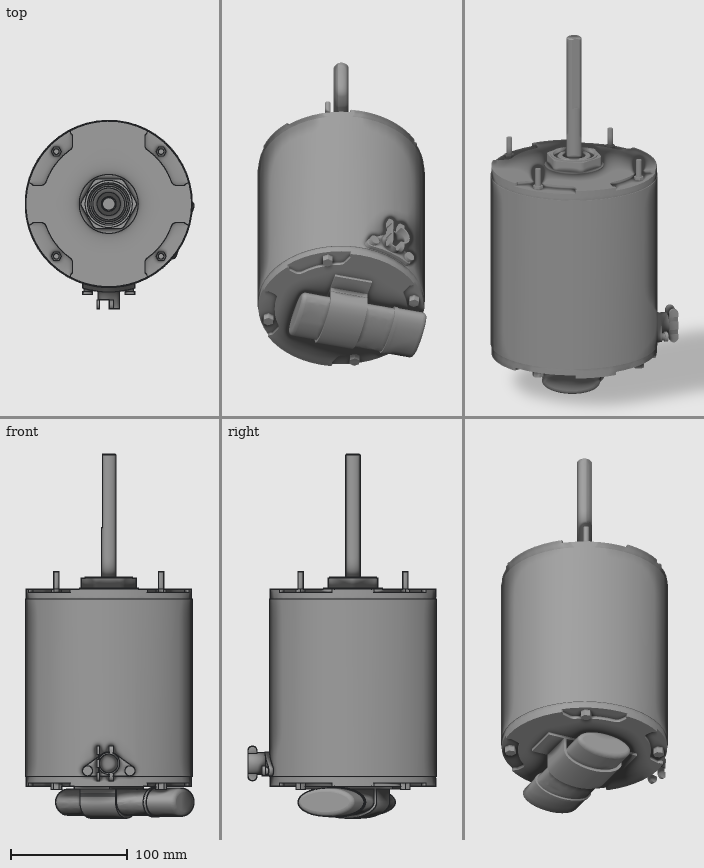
import cadquery as cq
import math

SHELL_RADIUS = 71.7
SHIELD_RADIUS = 71.0
MOTOR_HEIGHT = 169.2
SHIELD_RIM = 8.6

POCKET_DEPTH = 2.8
POCKET_INNER_RADIUS = 57.0
SIDE_TAB_HALF_WIDTH = 15.8
FRONT_TAB_HALF_WIDTH = 30.9
TAB_FLARE = 2.2
TAB_FLARE_RADIUS = 4.5
POCKET_CORNER_RADIUS = 5.0

BOLT_CIRCLE_RADIUS = 63.5
BOLT_OFFSET = BOLT_CIRCLE_RADIUS / math.sqrt(2)
STUD_DIAMETER = 4.8
STUD_LENGTH = 15.0
STUD_NUT_FLATS = 7.5
BOLT_HEAD_FLATS = 8.2
BOLT_HEAD_PROJECTION = 2.8

WASHER_RADIUS = 25.3
WASHER_HEIGHT = 1.0
NUT_FLATS = 42.5
NUT_TOP = 9.4
NUT_CORNER_RADIUS = 5.0
COLLAR_RADIUS = 20.2
COLLAR_TOP = 10.4
RECESS_TOP_RADIUS = 18.2
RECESS_FLOOR_RADIUS = 16.8
RECESS_DEPTH = 3.0
SEAL_BASE_RADIUS = 15.2
SEAL_TOP_RADIUS = 13.6
SEAL_HEIGHT = 1.8
SHAFT_CLEARANCE_RADIUS = 10.0
SHAFT_CLEARANCE_DEPTH = 5.0

SHAFT_DIAMETER = 12.7
SHAFT_TOP = 285.0
SHAFT_CHAMFER = 1.0
FLAT_START = 222.0
FLAT_DEPTH = 0.95

CLAMP_Z = 19.7
CLAMP_TIP_Y = -90.05
BARREL_RADIUS = 9.4
BARREL_BORE_RADIUS = 8.0
ROOT_RADIUS = SHELL_RADIUS - 12.0
FLANGE_RADIUS = 75.5
FLANGE_BOSS_RADIUS = 9.9
EAR_SPACING = 36.4
EAR_DROP = 6.3
EAR_RADIUS = 4.3
SCREW_HEAD_RADIUS = 4.3
SCREW_NECK_RADIUS = 3.2
SCREW_HEAD_END = 77.8
SCREW_HEAD_HEIGHT = 2.6
JAW_DEPTH = 7.8
JAW_HEIGHT = 29.8
JAW_NOTCH_CENTRE = 5.7
JAW_NOTCH_HEIGHT = 4.2
JAW_NOTCH_DEPTH = 1.2
OUTER_JAW_X = (-10.2, -7.8)
INNER_JAW_X = (0.4, 4.0)

CAPACITOR_TURN = -20.0
CAPACITOR_Z = -13.5
CAPACITOR_HALF_WIDTH = 25.0
CAPACITOR_HALF_HEIGHT = 11.3
CAPACITOR_END_RADIUS = 3.5
CAPACITOR_START = -40.6
CAPACITOR_END = 69.6
BOOT_START = 41.0
BOOT_WALL = 0.9
BOOT_LIP_LENGTH = 2.8
BOOT_LIP_WALL = 1.6

STRAP_WIDTH = 32.5
STRAP_THICKNESS = 2.54
STRAP_GROOVE_TOP = -6.4
STRAP_GROOVE_WIDTH = 1.9
STRAP_GROOVE_DEPTH = 0.4
PLATE_HALF_LENGTH = 42.2
PLATE_THICKNESS = 2.3

BOLT_POINTS = [(x * BOLT_OFFSET, y * BOLT_OFFSET) for x in (-1, 1) for y in (-1, 1)]


def cylinder(radius, bottom, top):
    """Upright cylinder on the Z axis."""
    return cq.Workplane("XY").workplane(offset=bottom).circle(radius).extrude(top - bottom)


def cone(bottom_radius, top_radius, bottom, top):
    """Upright truncated cone on the Z axis."""
    lower = cq.Workplane("XY").workplane(offset=bottom).circle(bottom_radius)
    return lower.workplane(offset=top - bottom).circle(top_radius).loft(ruled=True)


def hexagons(points, flats, bottom, top):
    """Upright hexagons, corners on X, at the given points."""
    plane = cq.Workplane("XY").workplane(offset=bottom).pushPoints(points)
    return plane.polygon(6, flats / math.cos(math.pi / 6)).extrude(top - bottom)


def tab_flare_points():
    """Centres of the round flares that widen each standing tab where it meets the rim."""
    points = []
    for side in (-1, 1):
        for end in (-1, 1):
            x = FRONT_TAB_HALF_WIDTH + TAB_FLARE
            y = math.sqrt(SHIELD_RADIUS**2 - x**2)
            points.append((side * (x - TAB_FLARE_RADIUS), end * y))
            y = SIDE_TAB_HALF_WIDTH + TAB_FLARE
            x = math.sqrt(SHIELD_RADIUS**2 - y**2)
            points.append((side * x, end * (y - TAB_FLARE_RADIUS)))
    return points


def shield_pockets(bottom):
    """Four open-edged pockets that leave the shield's centre and four flared tabs standing."""
    reach = 2 * (SHELL_RADIUS + 1)
    plane = cq.Workplane("XY").workplane(offset=bottom)
    ring = plane.circle(reach / 2).circle(POCKET_INNER_RADIUS).extrude(POCKET_DEPTH)
    side_tabs = plane.rect(reach, 2 * SIDE_TAB_HALF_WIDTH).extrude(POCKET_DEPTH)
    front_tabs = plane.rect(2 * FRONT_TAB_HALF_WIDTH, reach).extrude(POCKET_DEPTH)
    flares = plane.pushPoints(tab_flare_points()).circle(TAB_FLARE_RADIUS).extrude(POCKET_DEPTH)
    pockets = ring.cut(side_tabs).cut(front_tabs)
    inner_corners = cq.selectors.BoxSelector(
        (-POCKET_INNER_RADIUS, -POCKET_INNER_RADIUS, bottom),
        (POCKET_INNER_RADIUS, POCKET_INNER_RADIUS, bottom + POCKET_DEPTH),
    )
    return pockets.edges("|Z").edges(inner_corners).fillet(POCKET_CORNER_RADIUS).cut(flares)


def make_housing():
    """Shell with a slightly smaller shield at each end, pocketed on both faces."""
    housing = cylinder(SHIELD_RADIUS, 0, MOTOR_HEIGHT)
    housing = housing.union(cylinder(SHELL_RADIUS, SHIELD_RIM, MOTOR_HEIGHT - SHIELD_RIM))
    for bottom in (0, MOTOR_HEIGHT - POCKET_DEPTH):
        housing = housing.cut(shield_pockets(bottom))
    return housing


def add_bolts(motor):
    """Studs and nuts on the top face, bolt heads on the bottom face."""
    pocket_floor = MOTOR_HEIGHT - POCKET_DEPTH
    stud_plane = cq.Workplane("XY").workplane(offset=pocket_floor).pushPoints(BOLT_POINTS)
    studs = stud_plane.circle(STUD_DIAMETER / 2).extrude(POCKET_DEPTH + STUD_LENGTH)
    nuts = hexagons(BOLT_POINTS, STUD_NUT_FLATS, pocket_floor, MOTOR_HEIGHT)
    heads = hexagons(BOLT_POINTS, BOLT_HEAD_FLATS, -BOLT_HEAD_PROJECTION, POCKET_DEPTH)
    return motor.union(studs).union(nuts).union(heads)


def make_hub():
    """Washer, hex nut and collar, hollowed around a raised seal and the shaft."""
    nut_top = MOTOR_HEIGHT + NUT_TOP
    collar_top = MOTOR_HEIGHT + COLLAR_TOP
    recess_floor = collar_top - RECESS_DEPTH
    seal_top = recess_floor + SEAL_HEIGHT
    nut = hexagons([(0, 0)], NUT_FLATS, MOTOR_HEIGHT, nut_top)
    hub = nut.edges("|Z").fillet(NUT_CORNER_RADIUS)
    hub = hub.union(cylinder(WASHER_RADIUS, MOTOR_HEIGHT, MOTOR_HEIGHT + WASHER_HEIGHT))
    hub = hub.union(cylinder(COLLAR_RADIUS, MOTOR_HEIGHT, collar_top))
    hub = hub.cut(cone(RECESS_FLOOR_RADIUS, RECESS_TOP_RADIUS, recess_floor, collar_top))
    hub = hub.union(cone(SEAL_BASE_RADIUS, SEAL_TOP_RADIUS, recess_floor, seal_top))
    return hub.cut(cylinder(SHAFT_CLEARANCE_RADIUS, seal_top - SHAFT_CLEARANCE_DEPTH, seal_top))


def make_shaft():
    """Round output shaft with a flat along its upper length."""
    radius = SHAFT_DIAMETER / 2
    shaft = cylinder(radius, MOTOR_HEIGHT, SHAFT_TOP).faces(">Z").chamfer(SHAFT_CHAMFER)
    flat_length = SHAFT_TOP - FLAT_START
    flat = cq.Workplane("XY").box(SHAFT_DIAMETER, SHAFT_DIAMETER, flat_length)
    return shaft.cut(flat.translate((FLAT_DEPTH - SHAFT_DIAMETER, 0, FLAT_START + flat_length / 2)))


def outward_cylinder(x, z, radius, start, end):
    """Cylinder along -Y, from distance start to distance end in front of the motor axis."""
    plane = cq.Workplane("XZ", origin=(x, -start, z))
    return plane.circle(radius).extrude(end - start)


def make_clamp_flange():
    """Curved flange hugging the shell: a round boss joined to two lower ears by tangents."""
    ear_x = EAR_SPACING / 2
    span = math.hypot(ear_x, EAR_DROP)
    lean = math.atan2(EAR_DROP, ear_x)
    spread = math.acos((FLANGE_BOSS_RADIUS - EAR_RADIUS) / span)
    upper = spread - lean
    boss_upper = (FLANGE_BOSS_RADIUS * math.cos(upper), FLANGE_BOSS_RADIUS * math.sin(upper))
    ear_upper = (ear_x + EAR_RADIUS * math.cos(upper), EAR_RADIUS * math.sin(upper) - EAR_DROP)
    ear_bottom = -EAR_DROP - EAR_RADIUS
    outline = (
        cq.Workplane("XZ", origin=(0, -ROOT_RADIUS, CLAMP_Z))
        .moveTo(*boss_upper)
        .lineTo(*ear_upper)
        .threePointArc((ear_x + EAR_RADIUS, -EAR_DROP), (ear_x, ear_bottom))
        .lineTo(-ear_x, ear_bottom)
        .threePointArc((-ear_x - EAR_RADIUS, -EAR_DROP), (-ear_upper[0], ear_upper[1]))
        .lineTo(-boss_upper[0], boss_upper[1])
        .threePointArc((0, FLANGE_BOSS_RADIUS), boss_upper)
        .close()
        .extrude(FLANGE_RADIUS - ROOT_RADIUS)
    )
    return outline.intersect(cylinder(FLANGE_RADIUS, 0, MOTOR_HEIGHT))


def make_jaw(x_range):
    """Upright jaw plate with rounded ends, flush with the tip of the barrel."""
    centre_y = CLAMP_TIP_Y + JAW_DEPTH / 2
    plane = cq.Workplane("YZ", origin=(x_range[0], centre_y, CLAMP_Z))
    return plane.slot2D(JAW_HEIGHT, JAW_DEPTH, 90).extrude(x_range[1] - x_range[0])


def add_cable_clamp(motor):
    """Flange with two screws, bored barrel, and a split tip between two jaw plates."""
    tip = -CLAMP_TIP_Y
    barrel = outward_cylinder(0, CLAMP_Z, BARREL_RADIUS, ROOT_RADIUS, tip)
    open_half = cq.Workplane("XY").box(2 * BARREL_RADIUS, JAW_DEPTH, 2 * BARREL_RADIUS)
    open_half = open_half.translate((INNER_JAW_X[0] - BARREL_RADIUS, JAW_DEPTH / 2 - tip, CLAMP_Z))
    clamp = barrel.cut(open_half).union(make_jaw(OUTER_JAW_X)).union(make_jaw(INNER_JAW_X))
    clamp = clamp.union(make_clamp_flange())
    for side in (-1, 1):
        x = side * EAR_SPACING / 2
        z = CLAMP_Z - EAR_DROP
        head_start = SCREW_HEAD_END - SCREW_HEAD_HEIGHT
        clamp = clamp.union(outward_cylinder(x, z, SCREW_HEAD_RADIUS, head_start, SCREW_HEAD_END))
        clamp = clamp.union(outward_cylinder(x, z, SCREW_NECK_RADIUS, ROOT_RADIUS, head_start))
    for side in (-1, 1):
        notch = cq.Workplane("XY").box(2 * JAW_NOTCH_DEPTH, JAW_DEPTH, JAW_NOTCH_HEIGHT)
        notch_z = CLAMP_Z + side * JAW_NOTCH_CENTRE
        clamp = clamp.cut(notch.translate((OUTER_JAW_X[0], JAW_DEPTH / 2 - tip, notch_z)))
    bore = outward_cylinder(0, CLAMP_Z, BARREL_BORE_RADIUS, SHELL_RADIUS, tip)
    return motor.union(clamp.cut(bore))


def oval(start, end, growth):
    """Elliptical bar along X, grown outward from the capacitor can by the given amount."""
    plane = cq.Workplane("YZ", origin=(start, 0, CAPACITOR_Z))
    ellipse = plane.ellipse(CAPACITOR_HALF_WIDTH + growth, CAPACITOR_HALF_HEIGHT + growth)
    return ellipse.extrude(end - start)


def strap_profile(growth):
    """U-shaped bar: half ellipse below, straight sides up to the motor's bottom face."""
    half_width = CAPACITOR_HALF_WIDTH + growth
    half_height = CAPACITOR_HALF_HEIGHT + growth
    lower = oval(-STRAP_WIDTH / 2, STRAP_WIDTH / 2, growth)
    sides = cq.Workplane("XY").box(STRAP_WIDTH, 2 * half_width, -CAPACITOR_Z)
    sides = sides.translate((0, 0, CAPACITOR_Z / 2))
    below = cq.Workplane("XY").box(STRAP_WIDTH, 2 * half_width, half_height)
    below = below.translate((0, 0, CAPACITOR_Z - half_height / 2))
    return lower.intersect(below).union(sides)


def make_strap():
    """Strap below the mounting plate, with a shallow groove across its -Y wall."""
    strap = strap_profile(STRAP_THICKNESS).cut(strap_profile(0))
    groove = cq.Workplane("XY").box(STRAP_WIDTH, 2 * STRAP_GROOVE_DEPTH, STRAP_GROOVE_WIDTH)
    groove_y = -CAPACITOR_HALF_WIDTH - STRAP_THICKNESS
    strap = strap.cut(groove.translate((0, groove_y, STRAP_GROOVE_TOP - STRAP_GROOVE_WIDTH / 2)))
    plate = cq.Workplane("XY").box(STRAP_WIDTH, 2 * PLATE_HALF_LENGTH, PLATE_THICKNESS)
    return strap.union(plate.translate((0, 0, -PLATE_THICKNESS / 2)))


def make_capacitor():
    """Oval can with a rubber boot on one end, held in its strap."""
    can = oval(CAPACITOR_START, BOOT_START + BOOT_LIP_LENGTH, 0)
    can = can.faces("<X").edges().fillet(CAPACITOR_END_RADIUS)
    boot = oval(BOOT_START, CAPACITOR_END, BOOT_WALL)
    boot = boot.faces(">X").edges().fillet(CAPACITOR_END_RADIUS)
    lip = oval(BOOT_START, BOOT_START + BOOT_LIP_LENGTH, BOOT_LIP_WALL)
    capacitor = can.union(boot).union(lip).union(make_strap())
    return capacitor.rotate((0, 0, 0), (0, 0, 1), CAPACITOR_TURN)


motor = add_bolts(make_housing())
motor = motor.union(make_hub()).union(make_shaft())
motor = add_cable_clamp(motor)
capacitor = make_capacitor()

result = cq.Compound.makeCompound([motor.solids().val(), capacitor.solids().val()])